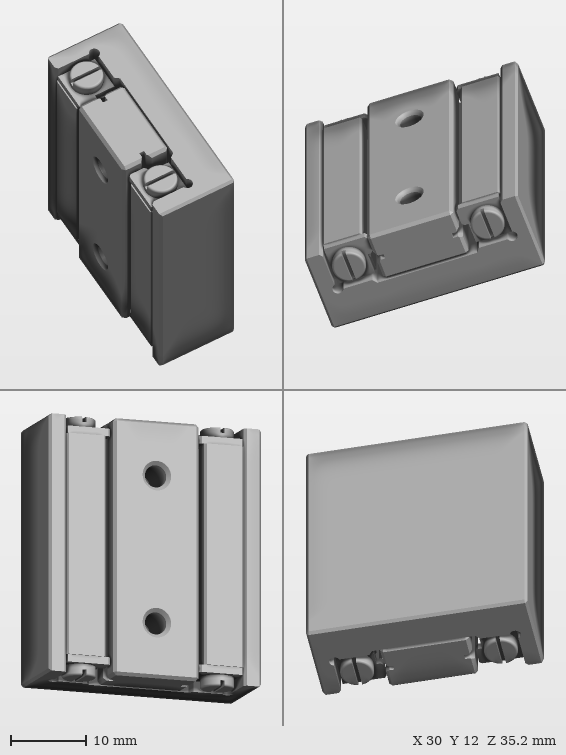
import cadquery as cq

WIDTH = 30.0
THICKNESS = 12.0
LENGTH = 35.2
CARRIAGE_LENGTH = 35.0
RAIL_LENGTH = 34.95
BACK_Y = THICKNESS / 2
FRONT_Y = -THICKNESS / 2

RAIL_PROTRUSION = 0.5
CARRIAGE_FRONT_Y = FRONT_Y + RAIL_PROTRUSION
CARRIAGE_CHAMFER = 0.35
POCKET_HALF_WIDTH = 12.5
POCKET_DEPTH = 5.53
WALL_CHAMFER = 0.4
SLOT_HALF_WIDTH = 7.0
SLOT_DEPTH = 4.9
SLOT_FLARE = 0.5
RELIEF_RADIUS = 0.75
RELIEF_INSET = 0.25

BAR_INNER_X = 6.95
BAR_HALF_LENGTH = 15.03
BAR_CHAMFER = 0.28

GROOVE_Y_OFFSET = 8.45
GROOVE_Y = BACK_Y - GROOVE_Y_OFFSET
GROOVE_HALF_HEIGHT = 0.85
GROOVE_DEPTH = 0.55
GROOVE_SLOT_HALF_HEIGHT = 0.35
GROOVE_SLOT_DEPTH = 1.23

PLATE_THICKNESS = 1.02
PLATE_OUTER_X = 12.3
PLATE_WAIST_X = 7.15
PLATE_INNER_X = 6.25
PLATE_STEP_DROP = 0.2
PLATE_STEP_Y = GROOVE_Y - PLATE_STEP_DROP
PLATE_GAP = 0.15
PLATE_BACK_Y = BACK_Y - POCKET_DEPTH - PLATE_GAP
PLATE_SETBACK = 0.18
PLATE_FRONT_Y = CARRIAGE_FRONT_Y + PLATE_SETBACK
PLATE_CHAMFER = 0.3

SCREW_X = 9.75
SCREW_RADIUS = 2.25
SCREW_FILLET = 0.3
DRIVE_SLOT_WIDTH = 0.55
DRIVE_SLOT_DEPTH = 0.77

RAIL_HALF_WIDTH = 6.02
RAIL_THICKNESS = 7.0
RAIL_BACK_Y = FRONT_Y + RAIL_THICKNESS
RAIL_CHAMFER = 0.42
HOLE_PITCH = 20.0
HOLE_DIAMETER = 3.0
HOLE_MOUTH_DIAMETER = 4.0
HOLE_MOUTH_ANGLE = 90

SIDES = (-1, 1)


def block(x_min, x_max, y_min, y_max, z_min, z_max):
    """Box given by its limits along each axis."""
    box = cq.Workplane("XY").box(x_max - x_min, y_max - y_min, z_max - z_min, centered=False)
    return box.translate((x_min, y_min, z_min))


def full_length_prism(points):
    """Closed XY outline extruded along Z over the whole length."""
    return cq.Workplane("XY").polyline(points).close().extrude(LENGTH / 2, both=True)


def mirrored(shape, side):
    """Shape modelled on the +X side, moved to the requested side."""
    return shape if side > 0 else shape.mirror("YZ")


def groove(face_x, inward):
    """V groove with a narrow slot at its root, cut into the face at face_x towards inward."""
    root_x = face_x + inward * GROOVE_DEPTH
    slot_x = face_x + inward * GROOVE_SLOT_DEPTH
    points = [
        (face_x, GROOVE_Y + GROOVE_HALF_HEIGHT),
        (root_x, GROOVE_Y + GROOVE_SLOT_HALF_HEIGHT),
        (slot_x, GROOVE_Y + GROOVE_SLOT_HALF_HEIGHT),
        (slot_x, GROOVE_Y - GROOVE_SLOT_HALF_HEIGHT),
        (root_x, GROOVE_Y - GROOVE_SLOT_HALF_HEIGHT),
        (face_x, GROOVE_Y - GROOVE_HALF_HEIGHT),
    ]
    return full_length_prism(points)


def carriage_block():
    """Channel-shaped block with chamfered outer edges."""
    half_length = CARRIAGE_LENGTH / 2
    body = block(-WIDTH / 2, WIDTH / 2, CARRIAGE_FRONT_Y, BACK_Y, -half_length, half_length)
    body = body.edges("|Y or |Z or >Y").chamfer(CARRIAGE_CHAMFER)

    pocket_y = BACK_Y - POCKET_DEPTH
    mouth_x = POCKET_HALF_WIDTH + WALL_CHAMFER
    pocket = [
        (-mouth_x, CARRIAGE_FRONT_Y),
        (-POCKET_HALF_WIDTH, CARRIAGE_FRONT_Y + WALL_CHAMFER),
        (-POCKET_HALF_WIDTH, pocket_y),
        (POCKET_HALF_WIDTH, pocket_y),
        (POCKET_HALF_WIDTH, CARRIAGE_FRONT_Y + WALL_CHAMFER),
        (mouth_x, CARRIAGE_FRONT_Y),
    ]
    body = body.cut(full_length_prism(pocket))

    slot_y = BACK_Y - SLOT_DEPTH
    flare_x = SLOT_HALF_WIDTH + SLOT_FLARE
    slot = [
        (-flare_x, pocket_y),
        (-SLOT_HALF_WIDTH, slot_y),
        (SLOT_HALF_WIDTH, slot_y),
        (flare_x, pocket_y),
    ]
    body = body.cut(full_length_prism(slot))

    relief_x = POCKET_HALF_WIDTH - RELIEF_INSET
    relief_y = pocket_y - RELIEF_INSET
    reliefs = cq.Workplane("XY").pushPoints([(side * relief_x, relief_y) for side in SIDES])
    return body.cut(reliefs.circle(RELIEF_RADIUS).extrude(LENGTH / 2, both=True))


def guide_bar():
    """Grooved bar seated against the pocket floor and side wall, on the +X side."""
    bar = block(BAR_INNER_X, POCKET_HALF_WIDTH, CARRIAGE_FRONT_Y, BACK_Y - POCKET_DEPTH,
                -BAR_HALF_LENGTH, BAR_HALF_LENGTH)
    bar = bar.faces("<Y").edges("|Z").chamfer(BAR_CHAMFER)
    return bar.cut(groove(BAR_INNER_X, 1))


def end_plate():
    """Stepped plate on the +Z end of the +X guide bar."""
    points = [
        (PLATE_WAIST_X, PLATE_BACK_Y),
        (PLATE_OUTER_X, PLATE_BACK_Y),
        (PLATE_OUTER_X, PLATE_FRONT_Y),
        (PLATE_INNER_X, PLATE_FRONT_Y),
        (PLATE_INNER_X, PLATE_STEP_Y),
        (PLATE_WAIST_X, PLATE_STEP_Y),
    ]
    plate = cq.Workplane("XY").polyline(points).close().extrude(PLATE_THICKNESS)
    plate = plate.faces("<X").edges("|Z").chamfer(PLATE_CHAMFER)
    return plate.translate((0, 0, BAR_HALF_LENGTH))


def screw_head():
    """Slotted screw head on the +Z end plate of the +X side."""
    seat_z = BAR_HALF_LENGTH + PLATE_THICKNESS
    top_z = LENGTH / 2
    head = cq.Workplane("XY").circle(SCREW_RADIUS).extrude(top_z - seat_z)
    head = head.faces(">Z").edges().fillet(SCREW_FILLET)
    head = head.translate((SCREW_X, GROOVE_Y, seat_z))
    drive_slot = block(SCREW_X - DRIVE_SLOT_WIDTH / 2, SCREW_X + DRIVE_SLOT_WIDTH / 2,
                       GROOVE_Y - SCREW_RADIUS, GROOVE_Y + SCREW_RADIUS,
                       top_z - DRIVE_SLOT_DEPTH, top_z)
    return head.cut(drive_slot)


def make_carriage():
    """Carriage: block, guide bars, end plates and screw heads as one solid."""
    end_fittings = end_plate().union(screw_head())
    guide = guide_bar().union(end_fittings).union(end_fittings.mirror("XY"))
    body = carriage_block()
    for side in SIDES:
        body = body.union(mirrored(guide, side))
    return body


def make_rail():
    """Rail running between the guide bars, grooved on both sides, with two mounting holes."""
    half_length = RAIL_LENGTH / 2
    rail = block(-RAIL_HALF_WIDTH, RAIL_HALF_WIDTH, FRONT_Y, RAIL_BACK_Y, -half_length, half_length)
    rail = rail.edges().chamfer(RAIL_CHAMFER)
    for side in SIDES:
        rail = rail.cut(groove(side * RAIL_HALF_WIDTH, -side))
    face = rail.faces("<Y").workplane(origin=(0, FRONT_Y, 0))
    holes = face.pushPoints([(0, side * HOLE_PITCH / 2) for side in SIDES])
    return holes.cskHole(HOLE_DIAMETER, HOLE_MOUTH_DIAMETER, HOLE_MOUTH_ANGLE)


carriage = make_carriage()
rail = make_rail()

result = cq.Compound.makeCompound([carriage.solids().val(), rail.solids().val()])